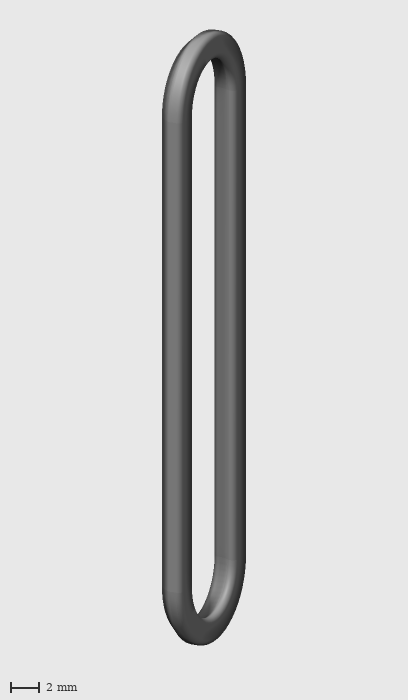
import cadquery as cq
import math

QUARTER_TURN = math.pi / 2

length = 45.7
width = 10.5
thickness = 2.05
section_width = 1.95
corner_radius = 0.4
nose_radius = 0.5
flank_tilt = 48
nose_depth = 1.1

end_radius = width / 2
straight_length = length - width
x_front = -thickness / 2
flank_angle = -math.radians(180 - flank_tilt)

nose = (nose_radius, nose_depth)
back_x = thickness - corner_radius
back_inner = (back_x, section_width - corner_radius)
back_outer = (back_x, corner_radius)

center_rise = nose_depth - corner_radius
radius_change = nose_radius - corner_radius
center_run = (-radius_change - center_rise * math.sin(flank_angle)) / math.cos(flank_angle)
front_outer = (nose_radius - center_run, corner_radius)

nose_side = (nose_radius, nose_depth + nose_radius)
lip_run = back_x - nose_side[0]
lip_rise = back_inner[1] - nose_side[1]
hollow_radius = (lip_run**2 + lip_rise**2 - corner_radius**2) / (2 * (corner_radius + lip_rise))
hollow = (nose_side[0], nose_side[1] + hollow_radius)
lip_angle = math.atan2(back_inner[1] - hollow[1], lip_run)


def on_circle(center, radius, angle):
    """Point of a section circle; zero angle points toward +X, positive angle inward."""
    return (center[0] + radius * math.cos(angle), center[1] + radius * math.sin(angle))


def place(point):
    """Put a section point on the -Y straight leg, in local XY coordinates."""
    return (x_front + point[0], -end_radius + point[1])


def arc_to(outline, center, radius, start, end):
    """Continue the outline along a circle between two angles."""
    middle = on_circle(center, radius, (start + end) / 2)
    return outline.threePointArc(place(middle), place(on_circle(center, radius, end)))


def section(z):
    """Closed seal section on a horizontal plane."""
    outline = cq.Workplane("XY", origin=(0, 0, z))
    outline = outline.moveTo(*place(on_circle(nose, nose_radius, flank_angle)))
    outline = outline.lineTo(*place(on_circle(front_outer, corner_radius, flank_angle)))
    outline = arc_to(outline, front_outer, corner_radius, flank_angle, -QUARTER_TURN)
    outline = outline.lineTo(*place((back_x, 0)))
    outline = arc_to(outline, back_outer, corner_radius, -QUARTER_TURN, 0)
    outline = outline.lineTo(*place((thickness, back_inner[1])))
    outline = arc_to(outline, back_inner, corner_radius, 0, lip_angle + math.pi)
    outline = arc_to(outline, hollow, hollow_radius, lip_angle, -QUARTER_TURN)
    outline = arc_to(outline, nose, nose_radius, QUARTER_TURN, flank_angle + 2 * math.pi)
    return outline.close()


half_straight = straight_length / 2
leg = section(-half_straight).extrude(straight_length)
end = section(half_straight).revolve(180, (0, 0, 0), (-1, 0, 0))
result = leg.union(leg.mirror("XZ")).union(end).union(end.mirror("XY"))